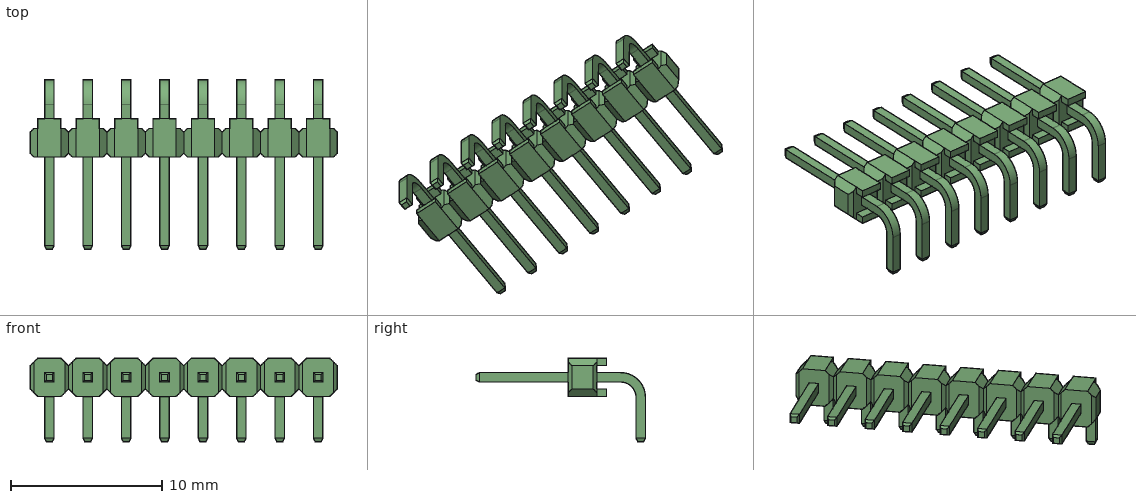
import cadquery as cq

POSITIONS = 8
PITCH = 2.54

BLOCK_HEIGHT = 2.54
BLOCK_DEPTH = 1.905
CORNER_CHAMFER = 0.5
SIDE_BEVEL = 0.25

FOOT_LENGTH = 0.635
FOOT_HEIGHT = 0.5
FOOT_WIDTH = PITCH - 2 * CORNER_CHAMFER

PIN_SIZE = 0.64
BEND_INNER_RADIUS = 1.0
BEND_OUTER_RADIUS = BEND_INNER_RADIUS + PIN_SIZE
TIP_LENGTH = 0.25
TIP_SIZE = 0.4
TOTAL_DEPTH = 11.22
TOTAL_HEIGHT = 5.54
PIN_FRONT_LENGTH = 6.1

PIN_FRONT_Y = -PIN_FRONT_LENGTH
PIN_BACK_Y = PIN_FRONT_Y + TOTAL_DEPTH
PIN_BOTTOM_Z = BLOCK_HEIGHT / 2 - TOTAL_HEIGHT


def make_block():
    """Octagonal prism whose vertical side edges are bevelled, front face at Y = 0."""
    prism = (
        cq.Workplane("XY")
        .box(PITCH, BLOCK_DEPTH, BLOCK_HEIGHT)
        .edges("|Y")
        .chamfer(CORNER_CHAMFER)
    )
    bevelled_envelope = (
        cq.Workplane("XY")
        .box(PITCH, BLOCK_DEPTH, BLOCK_HEIGHT)
        .edges("|Z")
        .chamfer(SIDE_BEVEL)
    )
    return prism.intersect(bevelled_envelope).translate((0, BLOCK_DEPTH / 2, 0))


def make_foot(side):
    """Standoff foot behind the block; side is +1 for the top foot, -1 for the bottom one."""
    center_y = BLOCK_DEPTH + FOOT_LENGTH / 2
    center_z = side * (BLOCK_HEIGHT - FOOT_HEIGHT) / 2
    return cq.Workplane("XY").box(FOOT_WIDTH, FOOT_LENGTH, FOOT_HEIGHT).translate((0, center_y, center_z))


def make_pin():
    """Right-angle square pin with both ends tapered."""
    half = PIN_SIZE / 2
    bend_start_y = PIN_BACK_Y - BEND_OUTER_RADIUS
    bend_end_z = half - BEND_OUTER_RADIUS
    front_tip_y = PIN_FRONT_Y + TIP_LENGTH
    bottom_tip_z = PIN_BOTTOM_Z + TIP_LENGTH
    leg_inner_y = PIN_BACK_Y - PIN_SIZE
    bent_bar = (
        cq.Workplane("YZ")
        .moveTo(front_tip_y, half)
        .lineTo(bend_start_y, half)
        .radiusArc((PIN_BACK_Y, bend_end_z), BEND_OUTER_RADIUS)
        .lineTo(PIN_BACK_Y, bottom_tip_z)
        .lineTo(leg_inner_y, bottom_tip_z)
        .lineTo(leg_inner_y, bend_end_z)
        .radiusArc((bend_start_y, -half), -BEND_INNER_RADIUS)
        .lineTo(front_tip_y, -half)
        .close()
        .extrude(half, both=True)
    )
    for end_face in ("<Y", "<Z"):
        bent_bar = (
            bent_bar.faces(end_face)
            .workplane(centerOption="CenterOfMass")
            .rect(PIN_SIZE, PIN_SIZE)
            .workplane(offset=TIP_LENGTH)
            .rect(TIP_SIZE, TIP_SIZE)
            .loft(combine=True)
        )
    return bent_bar


def make_header_position():
    """One position: block, feet and pin formed as a single solid."""
    position = make_block().union(make_pin())
    for side in (1, -1):
        position = position.union(make_foot(side))
    return position


header_position = make_header_position()
first_x = -(POSITIONS - 1) * PITCH / 2
header_positions = []
for index in range(POSITIONS):
    placed = header_position.translate((first_x + index * PITCH, 0, 0))
    header_positions.append(placed.val())

result = cq.Compound.makeCompound(header_positions)